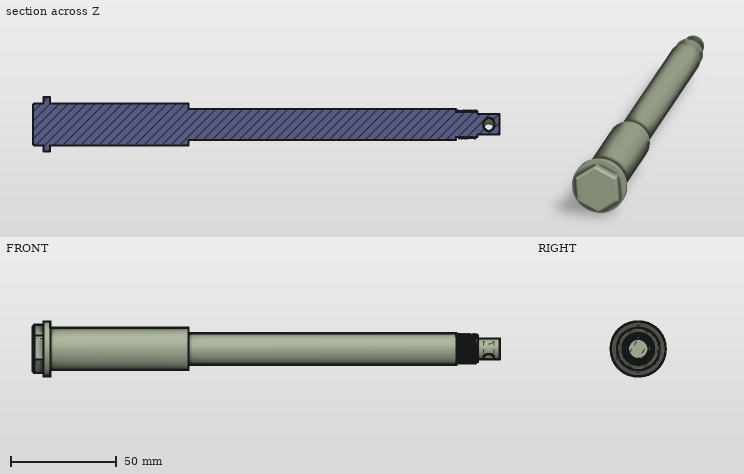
import cadquery as cq
import math

head_end = 5.0
flange_end = 8.5
sleeve_end = 73.8
shaft_end = 200.5
thread_end = 210.6
bolt_end = 221.0

flange_diameter = 26.0
sleeve_diameter = 20.1
shaft_diameter = 15.0
thread_diameter = 14.0
root_diameter = 12.2
tip_diameter = 10.0
pin_hole_diameter = 5.0

hex_across_flats = 20.0
hex_chamfer = 0.9
hex_turn = 4.0

thread_pitch = 1.22
crest_width = 0.15
root_width = 0.15
ridge_overlap = 0.1

pin_hole_x = (thread_end + bolt_end) / 2
pin_hole_tilt = 32.0

tip_chamfer = 0.1


def cylinder(start, end, diameter):
    """Solid cylinder on the X axis between two stations."""
    return cq.Workplane("YZ", origin=(start, 0, 0)).circle(diameter / 2).extrude(end - start)


def hex_head():
    across_corners = hex_across_flats / math.cos(math.pi / 6)
    head = cq.Workplane("YZ").polygon(6, across_corners).extrude(head_end)
    head = head.faces("<X").chamfer(hex_chamfer)
    return head.rotate((0, 0, 0), (1, 0, 0), 90 - hex_turn)


def thread():
    """Threaded length: a helical ridge wound on the root cylinder."""
    length = thread_end - shaft_end
    core = cq.Workplane("XY").circle(root_diameter / 2).extrude(length)
    crest_radius = thread_diameter / 2
    foot_radius = root_diameter / 2 - ridge_overlap
    foot_half = (thread_pitch - root_width) / 2
    helix = cq.Wire.makeHelix(thread_pitch, length - 2 * foot_half, root_diameter / 2)
    ridge = (
        cq.Workplane("XZ")
        .moveTo(foot_radius, -foot_half)
        .lineTo(crest_radius, -crest_width / 2)
        .lineTo(crest_radius, crest_width / 2)
        .lineTo(foot_radius, foot_half)
        .close()
        .sweep(cq.Workplane(helix), isFrenet=True)
        .translate((0, 0, foot_half))
    )
    body = core.union(ridge)
    return body.rotate((0, 0, 0), (0, 1, 0), 90).translate((shaft_end, 0, 0))


def pin_hole():
    drill = cq.Workplane("XY").circle(pin_hole_diameter / 2).extrude(tip_diameter, both=True)
    drill = drill.rotate((0, 0, 0), (1, 0, 0), -pin_hole_tilt)
    return drill.translate((pin_hole_x, 0, 0))


flange = cylinder(head_end, flange_end, flange_diameter)
tip = cylinder(thread_end, bolt_end, tip_diameter).faces(">X").chamfer(tip_chamfer)

result = (
    hex_head()
    .union(flange)
    .union(cylinder(flange_end, sleeve_end, sleeve_diameter))
    .union(cylinder(sleeve_end, shaft_end, shaft_diameter))
    .union(thread())
    .union(tip)
    .cut(pin_hole())
)